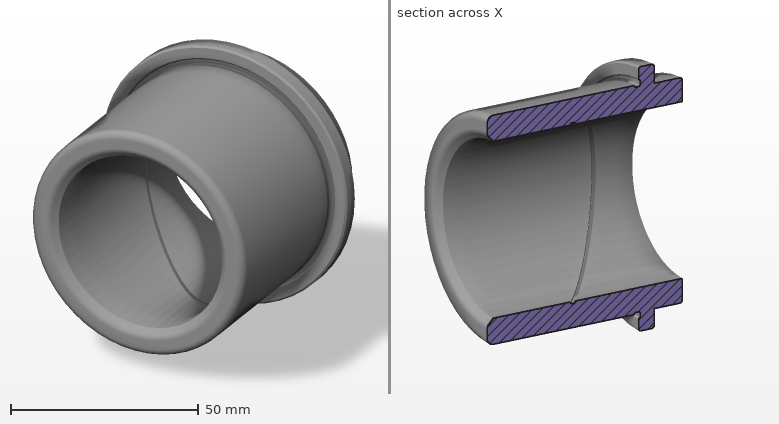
import cadquery as cq
import math

length = 62.0
mouth_y = -length / 2
rear_y = length / 2

body_diameter = 65.0
spigot_diameter = 64.0
flange_radius = 37.5
body_radius = body_diameter / 2
spigot_radius = spigot_diameter / 2
bore_radius = 25.0

spigot_length = 9.0
flange_thickness = 5.0
relief_width = 1.5
flange_rear_y = rear_y - spigot_length
flange_front_y = flange_rear_y - flange_thickness
body_rear_y = flange_front_y - relief_width

flange_chamfer = 0.5
spigot_fillet = 1.0
body_fillet = 2.0

relief_ramp = body_radius - spigot_radius
relief_face_radius = 34.0
relief_face_depth = 0.5
relief_fillet = 0.5
relief_floor_y = flange_front_y + relief_face_depth

mouth_cone = 1.4
mouth_blend = 2.0
mouth_angle = math.radians(45)

groove_width = 1.0
groove_depth = 0.5
groove_centre_y = -3.75
groove_tilt = 42.0


def make_sleeve():
    """Revolve the wall section (radius, y) about the Y axis."""
    cone_outer_radius = bore_radius + mouth_cone
    blend_radius = cone_outer_radius + mouth_blend * math.sin(mouth_angle)
    blend_centre_y = mouth_y + mouth_blend
    half_angle = mouth_angle / 2
    blend_mid = (
        blend_radius - mouth_blend * math.sin(half_angle),
        blend_centre_y - mouth_blend * math.cos(half_angle),
    )
    cone_outer_y = blend_centre_y - mouth_blend * math.cos(mouth_angle)
    cone_inner_y = cone_outer_y + mouth_cone / math.tan(mouth_angle)

    return (
        cq.Workplane("XY")
        .moveTo(bore_radius, rear_y)
        .lineTo(bore_radius, cone_inner_y)
        .lineTo(cone_outer_radius, cone_outer_y)
        .threePointArc(blend_mid, (blend_radius, mouth_y))
        .lineTo(body_radius - body_fillet, mouth_y)
        .radiusArc((body_radius, mouth_y + body_fillet), -body_fillet)
        .lineTo(body_radius, body_rear_y)
        .lineTo(spigot_radius, body_rear_y + relief_ramp)
        .lineTo(spigot_radius, relief_floor_y - relief_fillet)
        .radiusArc((spigot_radius + relief_fillet, relief_floor_y), relief_fillet)
        .lineTo(relief_face_radius - relief_face_depth, relief_floor_y)
        .lineTo(relief_face_radius, flange_front_y)
        .lineTo(flange_radius - flange_chamfer, flange_front_y)
        .lineTo(flange_radius, flange_front_y + flange_chamfer)
        .lineTo(flange_radius, flange_rear_y - flange_chamfer)
        .lineTo(flange_radius - flange_chamfer, flange_rear_y)
        .lineTo(spigot_radius, flange_rear_y)
        .lineTo(spigot_radius, rear_y - spigot_fillet)
        .radiusArc((spigot_radius - spigot_fillet, rear_y), -spigot_fillet)
        .close()
        .revolve(360, (0, 0, 0), (0, 1, 0))
    )


def make_oil_groove():
    """Tilted slab trimmed to a cylinder slightly wider than the bore."""
    slab_size = 2 * length
    slab = (
        cq.Workplane("XY")
        .box(slab_size, groove_width, slab_size)
        .rotate((0, 0, 0), (0, 0, 1), -groove_tilt)
        .translate((0, groove_centre_y, 0))
    )
    groove_limit = (
        cq.Workplane("XZ")
        .circle(bore_radius + groove_depth)
        .extrude(length / 2, both=True)
    )
    return slab.intersect(groove_limit)


result = make_sleeve().cut(make_oil_groove())